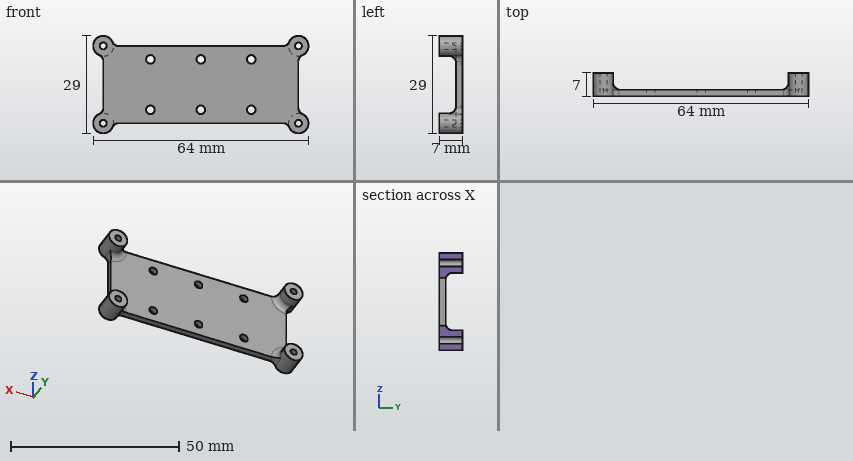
import cadquery as cq
import math

length = 64.0
post_diameter = 6.0
post_height = 7.0
plate_height = 23.0
plate_thickness = 2.0

corner_blend_radius = 2.0
flare_radius = 2.0

post_hole_diameter = 2.0
plate_hole_diameter = 2.5
plate_hole_pitch = 15.0
plate_hole_columns = 3
plate_hole_rows = 2

post_radius = post_diameter / 2
plate_length = length - post_diameter
half_length = plate_length / 2
half_height = plate_height / 2
post_centers = [(sx * half_length, sz * half_height) for sx in (-1, 1) for sz in (-1, 1)]

center_distance = post_radius + corner_blend_radius
blend_reach = math.sqrt(center_distance**2 - corner_blend_radius**2)


def front_plane():
    """XZ sketch plane on the front face; negative extrusions go rearward (+Y)."""
    return cq.Workplane("XZ")


def corner_web(x, z):
    """Full-thickness wedges that blend both plate edges into one post."""
    sx = math.copysign(1, x)
    sz = math.copysign(1, z)
    touch = post_radius / center_distance
    touch_along = touch * blend_reach
    touch_out = touch * corner_blend_radius
    half_sweep = math.atan2(blend_reach, corner_blend_radius) / 2
    middle_along = blend_reach - corner_blend_radius * math.sin(half_sweep)
    middle_out = corner_blend_radius * (1 - math.cos(half_sweep))

    def wedge(place):
        return (
            front_plane()
            .moveTo(x, z)
            .lineTo(*place(touch_along, touch_out))
            .threePointArc(place(middle_along, middle_out), place(blend_reach, 0))
            .lineTo(*place(blend_reach, -post_radius))
            .close()
            .extrude(-post_height)
        )

    along_x = wedge(lambda along, out: (x - sx * along, z + sz * out))
    along_z = wedge(lambda along, out: (x + sx * out, z - sz * along))
    return along_x.union(along_z)


def flare(x, z):
    """Concave ring around a post, rising from the rear face of the plate."""
    outer_radius = post_radius + flare_radius
    flare_top = plate_thickness + flare_radius
    arc_offset = flare_radius * math.sqrt(0.5)
    return (
        cq.Workplane("XY")
        .lineTo(outer_radius, 0)
        .lineTo(outer_radius, plate_thickness)
        .threePointArc(
            (outer_radius - arc_offset, flare_top - arc_offset),
            (post_radius, flare_top),
        )
        .lineTo(0, flare_top)
        .close()
        .revolve(360, (0, 0, 0), (0, 1, 0))
        .translate((x, 0, z))
    )


outline = front_plane().rect(plate_length, plate_height).extrude(-post_height)
for center in post_centers:
    outline = outline.union(corner_web(*center))

plate_slab = front_plane().rect(length, length).extrude(-plate_thickness)
body = outline.intersect(plate_slab)

posts = front_plane().pushPoints(post_centers).circle(post_radius).extrude(-post_height)
body = body.union(posts)
for center in post_centers:
    body = body.union(flare(*center).intersect(outline))

post_holes = (
    front_plane().pushPoints(post_centers).circle(post_hole_diameter / 2).extrude(-post_height)
)
plate_holes = (
    front_plane()
    .rarray(plate_hole_pitch, plate_hole_pitch, plate_hole_columns, plate_hole_rows)
    .circle(plate_hole_diameter / 2)
    .extrude(-plate_thickness)
)
result = body.cut(post_holes).cut(plate_holes)